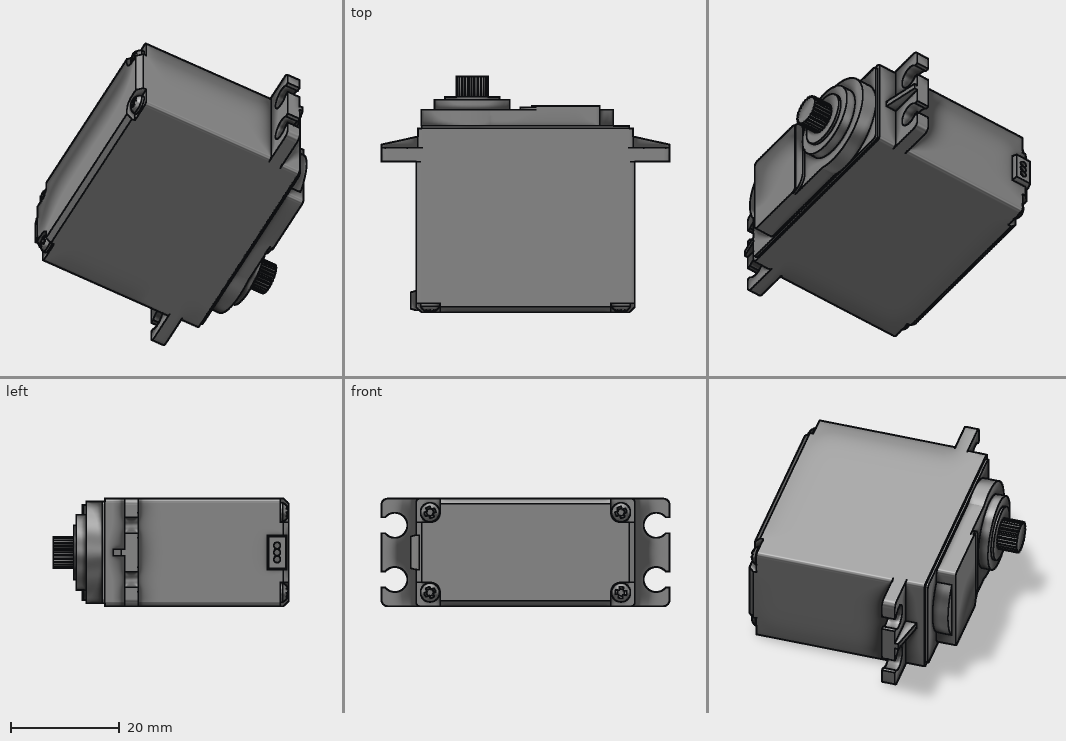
import cadquery as cq
import math


case_height = 19.85
lower_width = 40.25
upper_width = 39.55
case_top = 33.85
edge_radius = 0.8
end_chamfer = 1.0

flange_length = 53.05
flange_bottom = 27.75
flange_top = 30.25
flange_corner_radius = 1.2
mount_hole_x = 24.05
mount_hole_z = 5.0
mount_hole_radius = 2.3
mount_slot_width = 2.9
rib_thickness = 1.2
rib_root_top = 32.35
rib_tip_top = 30.85

gasket_width = 38.25
gasket_height = 18.8
gasket_top = 34.3

shaft_x = -9.8
cover_top = 37.3
cover_radius = 9.4
block_top = 38.0
block_left = 1.1
block_right = 13.7
block_height = 17.5
step_top = 37.75
step_left = -1.0
step_corner_radius = 2.9
tail_x = 7.6
tail_radius = 8.6
collar_radius = 6.95
collar_top = 39.15
bearing_radius = 5.05
bearing_top = 39.6
shaft_top = 43.4
spline_teeth = 25
spline_tip_radius = 2.9
spline_root_radius = 2.65

screw_x = 17.55
screw_z = 7.35
pocket_radius = 1.85
pocket_depth = 1.65
head_radius = 1.75
head_rim = 0.5
recess_top_radius = 1.25
recess_floor_radius = 0.65
recess_arm_width = 0.8
recess_depth = 0.9

screw_turns = [(-1, 1, 23), (1, 1, 20), (-1, -1, 26), (1, -1, -5)]

connector_inner_x = -19.35
connector_tip_x = -21.1
connector_y = 2.2
connector_length = 3.6
connector_height = 6.35
connector_taper = 0.25
pin_count = 3
pin_pitch = 1.25
pin_radius = 0.61
pin_depth = 0.8


def face_at(y):
    """Work plane at height y along the shaft; its local axes are X and Z."""
    return cq.Workplane("XZ", origin=(0, y, 0))


def slab(left, right, height, bottom, top):
    """Block centred on Z = 0."""
    middle = (left + right) / 2
    return face_at(top).center(middle, 0).rect(right - left, height).extrude(top - bottom)


def disc(x, radius, bottom, top):
    return face_at(top).center(x, 0).circle(radius).extrude(top - bottom)


def make_case():
    end = slab(-lower_width / 2, lower_width / 2, case_height, 0, pocket_depth)
    end = end.faces("<Y").edges().chamfer(end_chamfer)
    lower = slab(-lower_width / 2, lower_width / 2, case_height, pocket_depth, flange_bottom)
    lower = lower.edges("|Y").fillet(edge_radius)
    upper = slab(-upper_width / 2, upper_width / 2, case_height, flange_bottom, case_top)
    upper = upper.edges("|Y").fillet(edge_radius)
    gasket = slab(-gasket_width / 2, gasket_width / 2, gasket_height, case_top, gasket_top)
    gasket = gasket.edges("|Y").fillet(edge_radius)
    return end.union(lower).union(upper).union(gasket)


def make_flange():
    flange = slab(-flange_length / 2, flange_length / 2, case_height, flange_bottom, flange_top)
    flange = flange.edges("|Y").fillet(flange_corner_radius)
    thickness = flange_top - flange_bottom
    slot_length = flange_length / 2 - mount_hole_x
    for side in (-1, 1):
        for z in (-mount_hole_z, mount_hole_z):
            hole = face_at(flange_top).center(side * mount_hole_x, z)
            flange = flange.cut(hole.circle(mount_hole_radius).extrude(thickness))
            slot = face_at(flange_top).center(side * (mount_hole_x + slot_length / 2), z)
            flange = flange.cut(slot.rect(slot_length, mount_slot_width).extrude(thickness))
    return flange


def make_rib(side):
    """Sloping stiffener from the case wall to the flange tip."""
    root_x = side * upper_width / 2
    tip_x = side * flange_length / 2
    outline = [
        (0, flange_bottom),
        (tip_x, flange_bottom),
        (tip_x, rib_tip_top),
        (root_x, rib_root_top),
        (0, rib_root_top),
    ]
    return cq.Workplane("XY").polyline(outline).close().extrude(rib_thickness / 2, both=True)


def make_gear_cover():
    cover = disc(shaft_x, cover_radius, gasket_top, cover_top)
    cover = cover.union(slab(shaft_x, block_left + edge_radius, block_height, gasket_top, cover_top))
    block = slab(block_left, block_right, block_height, gasket_top, block_top)
    cover = cover.union(block.edges("|Y").fillet(edge_radius))
    step = slab(step_left, tail_x, block_height, gasket_top, step_top)
    cover = cover.union(step.edges("|Y and <X").fillet(step_corner_radius))
    return cover.union(disc(tail_x, tail_radius, gasket_top, cover_top))


def make_output_shaft():
    collar = disc(shaft_x, collar_radius, cover_top, collar_top)
    bearing = disc(shaft_x, bearing_radius, collar_top, bearing_top)
    points = []
    for i in range(2 * spline_teeth):
        radius = spline_root_radius if i % 2 else spline_tip_radius
        angle = math.pi * i / spline_teeth
        points.append((radius * math.cos(angle), radius * math.sin(angle)))
    spline = face_at(shaft_top).center(shaft_x, 0).polyline(points).close()
    return collar.union(bearing).union(spline.extrude(shaft_top - bearing_top))


def make_corner_pocket(x_side, z_side):
    """Pocket open at the case corner, rounded about the screw axis."""
    x = x_side * screw_x
    z = z_side * screw_z
    inner_x = x - x_side * pocket_radius
    inner_z = z - z_side * pocket_radius
    outer_x = x_side * lower_width / 2
    outer_z = z_side * case_height / 2
    bend = pocket_radius * math.sqrt(0.5)
    outline = face_at(pocket_depth).moveTo(outer_x, outer_z)
    outline = outline.lineTo(inner_x, outer_z).lineTo(inner_x, z)
    outline = outline.threePointArc((x - x_side * bend, z - z_side * bend), (x, inner_z))
    return outline.lineTo(outer_x, inner_z).close().extrude(pocket_depth)


def make_screw_head(x, z, turn):
    """Domed head with a tapered cross recess turned by the given angle; its crown touches Y = 0."""
    rim_y = pocket_depth - head_rim
    dome_radius = (head_radius ** 2 + rim_y ** 2) / (2 * rim_y)
    mid_radius = head_radius / 2
    mid_y = dome_radius - math.sqrt(dome_radius ** 2 - mid_radius ** 2)
    profile = cq.Workplane("XY").moveTo(0, pocket_depth).lineTo(head_radius, pocket_depth)
    profile = profile.lineTo(head_radius, rim_y).threePointArc((mid_radius, mid_y), (0, 0)).close()
    head = profile.revolve(360, (0, 0, 0), (0, 1, 0))
    arm_outline = [
        (-recess_top_radius, 0),
        (recess_top_radius, 0),
        (recess_floor_radius, recess_depth),
        (-recess_floor_radius, recess_depth),
    ]
    arm = cq.Workplane("XY").polyline(arm_outline).close().extrude(recess_arm_width / 2, both=True)
    for arm_angle in (turn, turn + 90):
        head = head.cut(arm.rotate((0, 0, 0), (0, -1, 0), arm_angle))
    return head.translate((x, 0, z))


def make_connector():
    wall_x = -lower_width / 2
    seat = cq.Workplane("YZ", origin=(connector_inner_x, connector_y, 0))
    plug = seat.rect(connector_length, connector_height).extrude(wall_x - connector_inner_x)
    wall = cq.Workplane("YZ", origin=(wall_x, connector_y, 0))
    tip = wall.rect(connector_length, connector_height).workplane(offset=connector_tip_x - wall_x)
    tip = tip.rect(connector_length - 2 * connector_taper, connector_height - 2 * connector_taper)
    plug = plug.union(tip.loft(ruled=True))
    pins = cq.Workplane("YZ", origin=(connector_tip_x, connector_y, 0))
    pins = pins.rarray(pin_pitch, pin_pitch, 1, pin_count).circle(pin_radius)
    return plug.cut(pins.extrude(pin_depth))


result = make_case().union(make_flange())
result = result.union(make_rib(-1)).union(make_rib(1))
result = result.union(make_gear_cover()).union(make_output_shaft())
for x_side, z_side, turn in screw_turns:
    result = result.cut(make_corner_pocket(x_side, z_side))
    result = result.union(make_screw_head(x_side * screw_x, z_side * screw_z, turn))
result = result.union(make_connector())